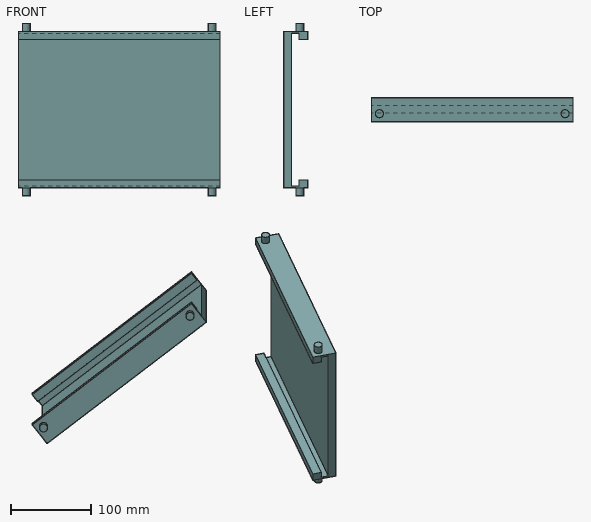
import cadquery as cq

length = 250.8
depth = 30.0
overall_height = 214.5
plate_thickness = 10.0
flange_thickness = 2.5
rail_depth = 11.0
rail_height = 10.0
pin_diameter = 10.0
pin_length = 10.0
pin_end_offset = 10.0
pin_back_offset = 20.0

body_height = overall_height - 2 * pin_length
half_height = body_height / 2
back = depth / 2
front = -depth / 2
plate_front = back - plate_thickness
rail_back = front + rail_depth
pin_x = length / 2 - pin_end_offset
pin_y = back - pin_back_offset


def box_between(y_min, y_max, z_min, z_max):
    """Full-length bar spanning the given Y and Z limits."""
    return cq.Workplane("XY").box(length, y_max - y_min, z_max - z_min).translate(
        (0, (y_min + y_max) / 2, (z_min + z_max) / 2)
    )


def top_edge():
    """Flange, inward-facing rail and pins along the top edge."""
    flange = box_between(front, back, half_height - flange_thickness, half_height)
    rail = box_between(front, rail_back, half_height - rail_height, half_height)
    pins = (
        cq.Workplane("XY", origin=(0, 0, half_height))
        .pushPoints([(-pin_x, pin_y), (pin_x, pin_y)])
        .circle(pin_diameter / 2)
        .extrude(pin_length)
    )
    return flange.union(rail).union(pins)


plate = box_between(plate_front, back, -half_height, half_height)
upper = top_edge()
lower = upper.mirror("XY")
result = plate.union(upper).union(lower)